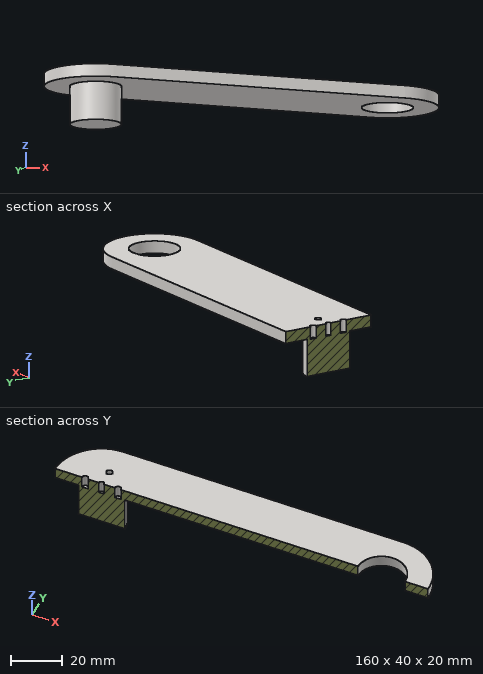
import cadquery as cq

length = 160.0
width = 40.0
height = 20.0

plate_thickness = height / 4
boss_height = height - plate_thickness
boss_diameter = width / 2
eye_diameter = boss_diameter
end_offset = (length - width) / 2

center_hole_diameter = 2.0
outer_hole_diameter = 2.5
outer_hole_radius = 7.0
outer_hole_count = 4
small_hole_depth = plate_thickness


def make_plate():
    """Round-ended plate with its underside at Z = 0."""
    return cq.Workplane("XY").slot2D(length, width).extrude(plate_thickness)


def make_boss():
    """Round boss hanging below the left end of the plate."""
    return cq.Workplane("XY").center(-end_offset, 0).circle(boss_diameter / 2).extrude(-boss_height)


def make_eye():
    """Cutter for the large through hole at the right end."""
    return cq.Workplane("XY").center(end_offset, 0).circle(eye_diameter / 2).extrude(plate_thickness)


def make_small_holes():
    """Cutters for the centre hole and the ring of holes around it."""
    top = cq.Workplane("XY", origin=(-end_offset, 0, plate_thickness))
    center_hole = top.circle(center_hole_diameter / 2).extrude(-small_hole_depth)
    outer_holes = (
        top.polarArray(outer_hole_radius, 0, 360, outer_hole_count)
        .circle(outer_hole_diameter / 2)
        .extrude(-small_hole_depth)
    )
    return center_hole.union(outer_holes)


result = make_plate().union(make_boss()).cut(make_eye()).cut(make_small_holes())